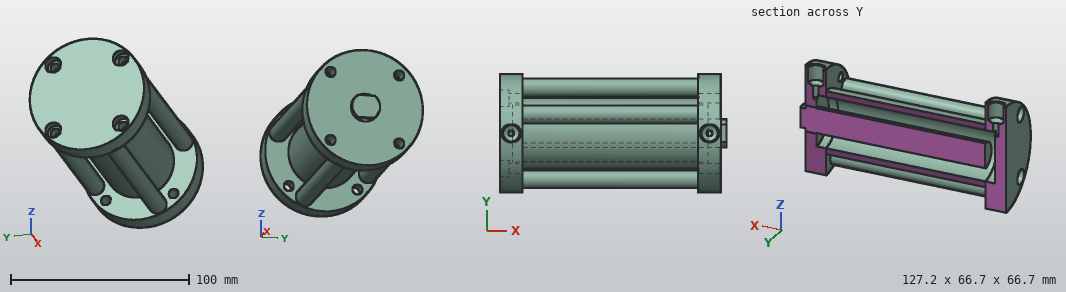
import cadquery as cq
import math

overall_length = 127.2
rod_protrusion = 3.2
cap_thickness = 12.7
cap_diameter = 66.7
front_cap_end = overall_length - rod_protrusion
front_cap_start = front_cap_end - cap_thickness
barrel_length = front_cap_start - cap_thickness

barrel_diameter = 40.0
bore_diameter = 32.1
recess_depth = 5.6

rod_diameter = 16.0
rod_flat_width = 12.7

bolt_circle_radius = 27.9
bolt_count = 4
bolt_pitch_angle = 360 / bolt_count
mounting_first_angle = bolt_pitch_angle / 2
tie_rod_first_angle = 0.75 * bolt_pitch_angle
tie_rod_diameter = 10.2
mounting_hole_diameter = 5.6
counterbore_diameter = 9.0
counterbore_depth = 5.1

port_diameter = 9.3
port_mouth_diameter = 11.0
port_depth = 10.2
passage_diameter = 3.2
passage_overlap = 1.9
drill_point_angle = 118.0


def x_cylinder(diameter, x_start, length):
    """Cylinder on the X axis."""
    return cq.Workplane("YZ", origin=(x_start, 0, 0)).circle(diameter / 2).extrude(length)


def bolt_cylinders(diameter, x_start, length, first_angle):
    """Separate cylinders parallel to X, equally spaced on the bolt circle."""
    return (
        cq.Workplane("YZ", origin=(x_start, 0, 0))
        .polarArray(bolt_circle_radius, first_angle, 360, bolt_count)
        .circle(diameter / 2)
        .extrude(length)
    )


def drilled_hole(diameter, x_center, z_top, z_bottom):
    """Vertical drill shape: a cylinder from z_top to z_bottom with a conical point below."""
    radius = diameter / 2
    point_height = radius / math.tan(math.radians(drill_point_angle / 2))
    return (
        cq.Workplane("XZ", origin=(x_center, 0, 0))
        .moveTo(0, z_top)
        .lineTo(radius, z_top)
        .lineTo(radius, z_bottom)
        .lineTo(0, z_bottom - point_height)
        .close()
        .revolve(360, (0, 0, 0), (0, 1, 0))
    )


def port_countersink(x_center, z_top):
    """45 degree cone that widens the mouth of a port."""
    mouth_radius = port_mouth_diameter / 2
    return (
        cq.Workplane("XZ", origin=(x_center, 0, 0))
        .moveTo(0, z_top)
        .lineTo(mouth_radius, z_top)
        .lineTo(0, z_top - mouth_radius)
        .close()
        .revolve(360, (0, 0, 0), (0, 1, 0))
    )


def make_cap(x_start, recess_start):
    """End cap with mounting holes, a chamber recess and a fluid port into the recess."""
    x_middle = x_start + cap_thickness / 2
    cap_top = cap_diameter / 2
    port_bottom = cap_top - port_depth
    passage_bottom = bore_diameter / 2 - passage_overlap
    return (
        x_cylinder(cap_diameter, x_start, cap_thickness)
        .cut(bolt_cylinders(mounting_hole_diameter, x_start, cap_thickness, mounting_first_angle))
        .cut(x_cylinder(bore_diameter, recess_start, recess_depth))
        .cut(drilled_hole(port_diameter, x_middle, cap_top, port_bottom))
        .cut(port_countersink(x_middle, cap_top))
        .cut(drilled_hole(passage_diameter, x_middle, port_bottom, passage_bottom))
    )


def make_rear_cap():
    """Closed cap with counterbored mounting holes on its outer face."""
    cap = make_cap(0, cap_thickness - recess_depth)
    return cap.cut(bolt_cylinders(counterbore_diameter, 0, counterbore_depth, mounting_first_angle))


def make_front_cap():
    """Cap with a central bore for the piston rod."""
    cap = make_cap(front_cap_start, front_cap_start)
    return cap.cut(x_cylinder(rod_diameter, front_cap_start, cap_thickness))


def make_barrel():
    """Tube clamped between the two caps."""
    tube = x_cylinder(barrel_diameter, cap_thickness, barrel_length)
    return tube.cut(x_cylinder(bore_diameter, cap_thickness, barrel_length))


def make_piston_rod():
    """Rod from the rear end of the barrel out through the front cap, flats facing up and down."""
    rod = x_cylinder(rod_diameter, cap_thickness, overall_length - cap_thickness)
    end = x_cylinder(rod_diameter, front_cap_end, rod_protrusion)
    between_flats = (
        cq.Workplane("YZ", origin=(front_cap_end, 0, 0))
        .rect(rod_diameter, rod_flat_width)
        .extrude(rod_protrusion)
    )
    return rod.cut(end.cut(between_flats))


rear_cap = make_rear_cap()
front_cap = make_front_cap()
barrel = make_barrel()
piston_rod = make_piston_rod()
tie_rods = bolt_cylinders(tie_rod_diameter, cap_thickness, barrel_length, tie_rod_first_angle)

result = cq.Compound.makeCompound(
    [rear_cap.val(), front_cap.val(), barrel.val(), piston_rod.val(), *tie_rods.solids().vals()]
)